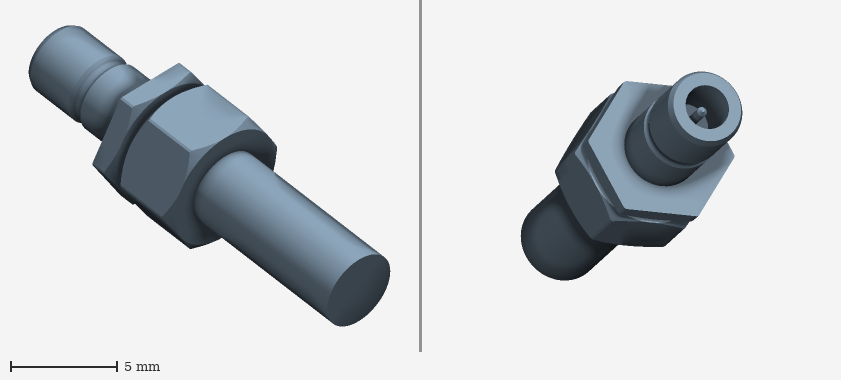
import cadquery as cq
import math

length = 21.57
groove_start = 3.06
groove_end = 3.86
flange_start = 6.73
flange_end = 7.83
nut_start = 8.33
nut_end = 12.05

barrel_radius = 1.85
nose_radius = 1.68
nose_chamfer_length = 0.32
groove_radius = 1.68
groove_flank = 0.2
neck_radius = 2.26
tube_radius = 1.98

across_flats = 6.35
corner_radius = 3.62
flange_chamfer = 0.25
nut_chamfer = 0.39

socket_radius = 1.08
socket_depth = 3.06
pin_radius = 0.24
pin_tip = 0.6
pin_tip_length = 0.17
pin_tip_radius = 0.06


def turned(profile):
    """Revolve (x, radius) points, closed along the axis, about X."""
    points = [(profile[0][0], 0)] + profile + [(profile[-1][0], 0)]
    return cq.Workplane("XY").polyline(points).close().revolve(360, (0, 0, 0), (1, 0, 0))


def hexagon(start, end, front_chamfer, back_chamfer):
    """Hex prism with flats facing +Z and -Z; its corners are trimmed and bevelled by turning."""
    flat_circle = across_flats / 2
    prism = (
        cq.Workplane("YZ", origin=(start, 0, 0))
        .polygon(6, across_flats / math.cos(math.pi / 6))
        .extrude(end - start)
    )
    envelope = []
    if front_chamfer:
        envelope.append((start, flat_circle))
    envelope.append((start + front_chamfer, corner_radius))
    envelope.append((end - back_chamfer, corner_radius))
    if back_chamfer:
        envelope.append((end, flat_circle))
    return prism.intersect(turned(envelope))


body = turned([
    (0, nose_radius),
    (nose_chamfer_length, barrel_radius),
    (groove_start, barrel_radius),
    (groove_start + groove_flank, groove_radius),
    (groove_end - groove_flank, groove_radius),
    (groove_end, barrel_radius),
    (flange_start, barrel_radius),
    (flange_start, neck_radius),
    (nut_end, neck_radius),
    (nut_end, tube_radius),
    (length, tube_radius),
])

flange = hexagon(flange_start, flange_end, 0, flange_chamfer)
nut = hexagon(nut_start, nut_end, nut_chamfer, nut_chamfer)

socket = turned([(0, socket_radius), (socket_depth, socket_radius)])

pin = turned([
    (pin_tip, pin_tip_radius),
    (pin_tip + pin_tip_length, pin_radius),
    (flange_start, pin_radius),
])

result = body.union(flange).union(nut).cut(socket).union(pin)